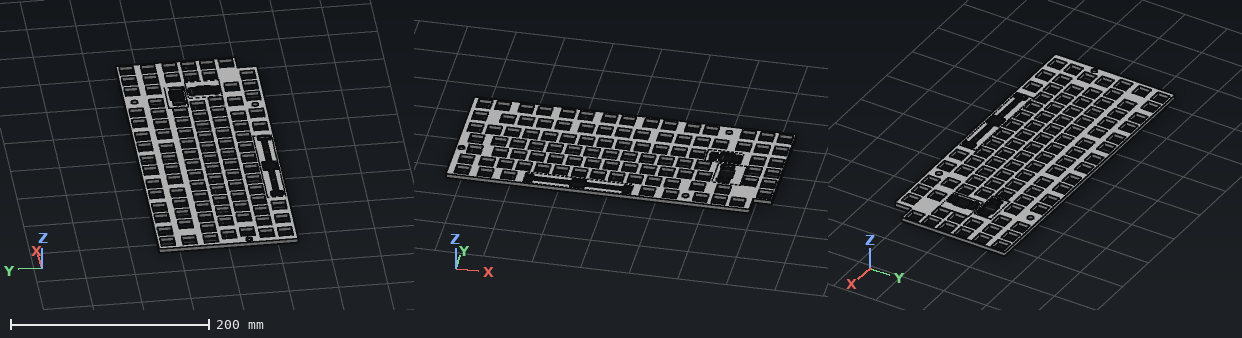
import cadquery as cq
length = 331.5
width = 141.5
thickness = 5.0
corner_radius = 1.5
notch_length = 19.0
notch_width = 20.0

key_span = 309.5
span_pitches = 16.25
pitch = key_span / span_pitches
first_key_x = 12.5
first_key_inset = 10.3
switch_size = 14.0

row_drops = [0, 1.15, 2.3, 3.3, 4.3, 5.3, 6.3]

row_runs = [
    [(0, 2), (2.25, 2), (4.5, 2), (6.75, 2), (9, 2), (11.25, 2), (14.25, 3)],
    [(0, 1), (1.5, 4), (5.75, 4), (10, 4), (14.25, 3)],
    [(0, 13), (15.25, 2)],
    [(0.25, 1), (1.5, 12), (15.25, 2)],
    [(0.375, 1), (1.75, 12), (15.25, 2)],
    [(0.125, 1), (1.25, 11), (12.625, 1), (14, 1), (16.25, 1)],
    [(0.125, 1), (1.375, 1), (2.625, 1), (10.125, 1), (11.375, 1), (13, 3)],
]

backspace_column = 13.5
backspace_switch_shift = 1.3
enter_column = 13.875
enter_drop = 3.8
space_column = 6.375

short_offset = 12.0
long_offset = 50.0
stabilizer_width = 6.5
stabilizer_top = 5.3
stabilizer_bottom = -6.5
foot_width = 3.0
foot_depth = 1.3
side_notch_depth = 0.83
side_notch_height = 2.82
side_notch_y = 0.5
wire_slot_height = 5.0
space_slot_y = -0.5

lip_thickness = 1.0
recess_depth = thickness - lip_thickness
backspace_recess = (250.2, 286.7, 78.2, 98.0)
enter_recess = (265.0, 294.3, 41.8, 76.2)
space_recess = (79.0, 189.2, 2.3, 21.0)

hole_diameter = 6.3
top_hole_x = 264.5
bottom_hole_x = 244.5
blind_hole_x = 6.0
blind_hole_depth = 1.5


def key_x(column):
    return first_key_x + column * pitch


def key_y(drop):
    return width - first_key_inset - drop * pitch


def box_cutter(x_min, x_max, y_min, y_max, height=thickness):
    """Block that rises from the underside of the plate."""
    block = cq.Workplane("XY").box(x_max - x_min, y_max - y_min, height, centered=False)
    return block.translate((x_min, y_min, 0))


def switch_cutter(shift):
    half = switch_size / 2
    return box_cutter(shift - half, shift + half, -half, half)


def stabilizer_cutter(offset):
    """Right-hand stabilizer opening with a foot below and a notch on the outer side."""
    inner = offset - stabilizer_width / 2
    outer = offset + stabilizer_width / 2
    body = box_cutter(inner, outer, stabilizer_bottom, stabilizer_top)
    foot = box_cutter(
        offset - foot_width / 2,
        offset + foot_width / 2,
        stabilizer_bottom - foot_depth,
        stabilizer_top,
    )
    side_notch = box_cutter(
        inner,
        outer + side_notch_depth,
        side_notch_y - side_notch_height / 2,
        side_notch_y + side_notch_height / 2,
    )
    return body.union(foot).union(side_notch)


def wide_key_cutter(offset, slot_y=0, switch_shift=0):
    """Switch opening joined by a wire slot to a mirrored pair of stabilizer openings."""
    right = stabilizer_cutter(offset)
    left = right.mirror("YZ")
    half_slot = wire_slot_height / 2
    slot = box_cutter(-offset, offset, slot_y - half_slot, slot_y + half_slot)
    return switch_cutter(switch_shift).union(slot).union(right).union(left)


notch_x = length - notch_length
plate = (
    cq.Workplane("XY")
    .polyline([
        (0, 0),
        (notch_x, 0),
        (notch_x, notch_width),
        (length, notch_width),
        (length, width),
        (0, width),
    ])
    .close()
    .extrude(thickness)
)

for corner in [(0, 0), (notch_x, 0), (length, width), (0, width)]:
    corner_edge = cq.selectors.NearestToPointSelector((*corner, thickness / 2))
    plate = plate.edges("|Z").edges(corner_edge).fillet(corner_radius)

switch_centers = [
    (key_x(first + index), key_y(drop))
    for drop, runs in zip(row_drops, row_runs)
    for first, count in runs
    for index in range(count)
]
plate = plate.cut(
    cq.Workplane("XY").pushPoints(switch_centers).rect(switch_size, switch_size).extrude(thickness)
)

backspace = wide_key_cutter(short_offset, switch_shift=backspace_switch_shift)
enter = wide_key_cutter(short_offset).rotate((0, 0, 0), (0, 0, 1), -90)
space = wide_key_cutter(long_offset, slot_y=space_slot_y)
plate = plate.cut(backspace.translate((key_x(backspace_column), key_y(row_drops[2]), 0)))
plate = plate.cut(enter.translate((key_x(enter_column), key_y(enter_drop), 0)))
plate = plate.cut(space.translate((key_x(space_column), key_y(row_drops[6]), 0)))

for recess in [backspace_recess, enter_recess, space_recess]:
    plate = plate.cut(box_cutter(*recess, height=recess_depth))

through_holes = [(top_hole_x, key_y(row_drops[0])), (bottom_hole_x, key_y(row_drops[6]))]
plate = plate.cut(
    cq.Workplane("XY").pushPoints(through_holes).circle(hole_diameter / 2).extrude(thickness)
)
blind_hole = (
    cq.Workplane("XY", origin=(blind_hole_x, key_y(row_drops[4]), thickness))
    .circle(hole_diameter / 2)
    .extrude(-blind_hole_depth)
)
result = plate.cut(blind_hole)